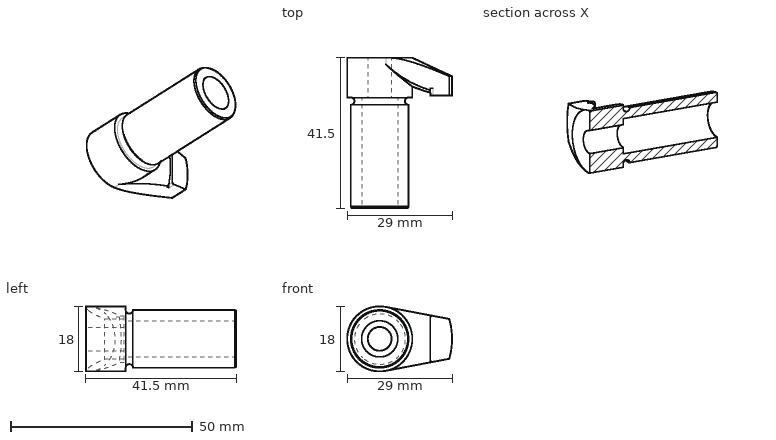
import cadquery as cq
import math


TOTAL_LENGTH = 41.5
HEAD_RADIUS = 18 / 2
HEAD_LENGTH = 11.0
SHANK_RADIUS = 16 / 2
GROOVE_RADIUS = 1.0
END_CHAMFER_LENGTH = 0.5
END_CHAMFER_DEPTH = 0.25

SCREW_HOLE_RADIUS = 6.5 / 2
SPRING_BORE_RADIUS = 10 / 2
SPRING_BORE_DEPTH = TOTAL_LENGTH - HEAD_LENGTH

ARM_REACH = 20.0
ARM_BACK_ANGLE = math.radians(25)
ARM_FLANK_ANGLE = math.radians(10.75)
ARM_BLANK_ALLOWANCE = 1.0

UNDERSIDE_RADIUS = 32.0
UNDERSIDE_CENTER_X = 21.9
UNDERSIDE_CENTER_Y = 21.3

PAD_START_X = 14.0
PAD_FACE_Y = -10.5
PAD_CORNER_RADIUS = 0.5
PAD_CORNER_HEIGHT = 2.0


def flank_z(x):
    """Half width of the arm at x, on the flank tangent to the head."""
    return (HEAD_RADIUS - x * math.sin(ARM_FLANK_ANGLE)) / math.cos(ARM_FLANK_ANGLE)


def extrude_along_y(sketch, y_back, y_front):
    """Extrude the outline that sketch draws on an XZ plane between two Y positions."""
    plane = cq.Workplane("XZ", origin=(0, y_back, 0))
    return sketch(plane).extrude(y_back - y_front)


def revolve_about_y(profile):
    """Close an XY half profile and turn it about the Y axis."""
    return profile.close().revolve(360, (0, 0, 0), (0, 1, 0))


def make_head_and_shank():
    groove_front = -HEAD_LENGTH - 2 * GROOVE_RADIUS
    profile = (
        cq.Workplane("XY")
        .lineTo(HEAD_RADIUS, 0)
        .lineTo(HEAD_RADIUS, -HEAD_LENGTH)
        .lineTo(SHANK_RADIUS, -HEAD_LENGTH)
        .threePointArc(
            (SHANK_RADIUS - GROOVE_RADIUS, -HEAD_LENGTH - GROOVE_RADIUS),
            (SHANK_RADIUS, groove_front),
        )
        .lineTo(SHANK_RADIUS, -TOTAL_LENGTH + END_CHAMFER_LENGTH)
        .lineTo(SHANK_RADIUS - END_CHAMFER_DEPTH, -TOTAL_LENGTH)
        .lineTo(0, -TOTAL_LENGTH)
    )
    return revolve_about_y(profile)


def make_arm_blank():
    """Tapered arm between its flanks, with a conical back and a round tip."""
    tangent_x = HEAD_RADIUS * math.sin(ARM_FLANK_ANGLE)
    tangent_z = HEAD_RADIUS * math.cos(ARM_FLANK_ANGLE)
    blank_end_x = ARM_REACH + ARM_BLANK_ALLOWANCE
    blank_end_z = flank_z(blank_end_x)
    back_drop = (ARM_REACH - HEAD_RADIUS) * math.tan(ARM_BACK_ANGLE)

    def outline(plane):
        return plane.polyline([
            (tangent_x, tangent_z),
            (blank_end_x, blank_end_z),
            (blank_end_x, -blank_end_z),
            (tangent_x, -tangent_z),
        ]).close()

    envelope = revolve_about_y(
        cq.Workplane("XY")
        .lineTo(HEAD_RADIUS, 0)
        .lineTo(ARM_REACH, -back_drop)
        .lineTo(ARM_REACH, PAD_FACE_Y)
        .lineTo(0, PAD_FACE_Y)
    )
    return extrude_along_y(outline, 0, PAD_FACE_Y).intersect(envelope)


def make_pad_zone():
    """Block holding the part of the arm that keeps its full depth."""
    def outline(plane):
        length = ARM_REACH + ARM_BLANK_ALLOWANCE - PAD_START_X
        return plane.center(PAD_START_X + length / 2, 0).rect(length, 2 * HEAD_RADIUS)

    return extrude_along_y(outline, 0, PAD_FACE_Y)


def make_pad_corner_cutter(side):
    """Sliver outside the rounded inner corner of the pad; side is +1 or -1 in Z."""
    center_x = PAD_START_X + PAD_CORNER_RADIUS
    center_z = flank_z(center_x) - PAD_CORNER_RADIUS / math.cos(ARM_FLANK_ANGLE)
    flank_direction = math.pi / 2 - ARM_FLANK_ANGLE
    middle_direction = (flank_direction + math.pi) / 2

    def on_round(direction):
        x = center_x + PAD_CORNER_RADIUS * math.cos(direction)
        z = center_z + PAD_CORNER_RADIUS * math.sin(direction)
        return (x, side * z)

    def outline(plane):
        return (
            plane.moveTo(PAD_START_X, side * flank_z(PAD_START_X))
            .lineTo(*on_round(flank_direction))
            .threePointArc(on_round(middle_direction), on_round(math.pi))
            .close()
        )

    return extrude_along_y(outline, PAD_FACE_Y + PAD_CORNER_HEIGHT, PAD_FACE_Y)


def make_arm():
    blank = make_arm_blank()
    underside = (
        cq.Workplane("XY")
        .sphere(UNDERSIDE_RADIUS)
        .translate((UNDERSIDE_CENTER_X, UNDERSIDE_CENTER_Y, 0))
    )
    arm = blank.intersect(underside).union(blank.intersect(make_pad_zone()))
    for side in (1, -1):
        arm = arm.cut(make_pad_corner_cutter(side))
    return arm


def make_bore():
    """Screw hole through the head, widened into a spring bore in the shank."""
    bore_floor = -TOTAL_LENGTH + SPRING_BORE_DEPTH
    profile = (
        cq.Workplane("XY")
        .lineTo(SCREW_HOLE_RADIUS, 0)
        .lineTo(SCREW_HOLE_RADIUS, bore_floor)
        .lineTo(SPRING_BORE_RADIUS, bore_floor)
        .lineTo(SPRING_BORE_RADIUS, -TOTAL_LENGTH)
        .lineTo(0, -TOTAL_LENGTH)
    )
    return revolve_about_y(profile)


result = make_head_and_shank().union(make_arm()).cut(make_bore())